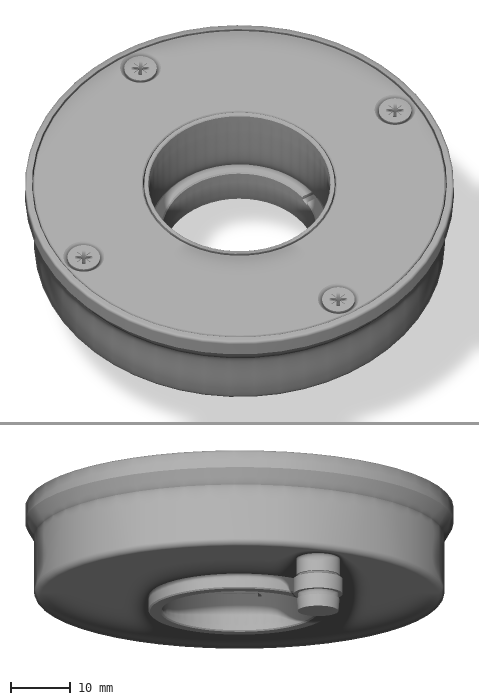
import cadquery as cq
import math


flange_diameter = 72.0
body_diameter = 69.0
flange_height = 3.0
body_height = 16.0
flange_taper_angle = 60.0
flange_top_fillet = 0.5
body_bottom_fillet = 1.0
bore_diameter = 30.5
bore_chamfer = 0.15

cover_outer_diameter = 69.3
cover_inner_diameter = 32.4
cover_thickness = 2.5
cover_chamfer = 0.2
recess_gap = 0.2

screw_count = 4
screw_circle_diameter = 61.9
countersink_diameter = 6.85
screw_head_diameter = 5.5
head_top = 0.15
shank_diameter = 3.0
shank_length = 7.2

drive_diameter = 3.0
drive_depth = 1.45
wing_width = 0.6
tick_offset = 45.0
tick_width = 0.15
tick_depth = 0.15
drive_angle = 57.0

adapter_bore_diameter = 26.0
adapter_top = 11.8
adapter_projection = 2.5
adapter_top_chamfer = 0.35
adapter_edge_chamfer = 0.2
spanner_slot_width = 1.5
spanner_slot_depth = 0.7

connector_circle_diameter = 56.9
connector_angle = 135.0
total_height = 25.1
seat_length = 0.15
collar_diameter = 7.35
neck_diameter = 6.85
ring_diameter = 8.2
tail_start_diameter = 7.2
tail_middle_diameter = 7.05
tail_end_diameter = 6.85
collar_length = 2.9
upper_neck_length = 0.6
ring_length = 2.6
lower_neck_length = 0.9

flange_radius = flange_diameter / 2
body_radius = body_diameter / 2
bore_radius = bore_diameter / 2
taper_height = (flange_radius - body_radius) * math.tan(math.radians(flange_taper_angle))

countersink_radius = countersink_diameter / 2
head_radius = screw_head_diameter / 2
shank_radius = shank_diameter / 2
seat_depth = countersink_radius - head_radius
cone_bottom = countersink_radius - shank_radius
screw_bottom = cone_bottom + shank_length


def revolve_profile(points):
    """Solid of revolution about Z from (radius, height) points."""
    return cq.Workplane("XZ").polyline(points).close().revolve(360, (0, 0, 0), (0, 1, 0))


def cylinder(diameter, top, bottom):
    """Cylinder on the Z axis between two depths below the top face."""
    return cq.Workplane("XY").workplane(offset=-bottom).circle(diameter / 2).extrude(bottom - top)


def make_countersunk_hole():
    """Cutter for a countersunk hole that opens at the top face."""
    return revolve_profile([
        (0, 0),
        (countersink_radius, 0),
        (shank_radius, -cone_bottom),
        (shank_radius, -screw_bottom),
        (0, -screw_bottom),
    ])


def at_screws(shape):
    """Copies of a shape at every screw position."""
    angles = [360 / screw_count * i for i in range(screw_count)]
    return [
        shape.translate((screw_circle_diameter / 2, 0, 0)).rotate((0, 0, 0), (0, 0, 1), angle)
        for angle in angles
    ]


def polar(radius, angle):
    """X and Y of the point at a radius and an angle in degrees."""
    return (radius * math.cos(math.radians(angle)), radius * math.sin(math.radians(angle)))


def make_cross(width, angle, depth):
    """Two crossed bars sunk into the screw head."""
    cross = cq.Workplane("XY").workplane(offset=-head_top).rect(drive_diameter, width).extrude(-depth)
    cross = cross.union(cross.rotate((0, 0, 0), (0, 0, 1), 90))
    return cross.rotate((0, 0, 0), (0, 0, 1), angle)


def make_drive_recess():
    """Cross that tapers to a point, plus shallow ticks halfway between its wings."""
    taper = revolve_profile([
        (0, -head_top),
        (drive_diameter / 2, -head_top),
        (0, -head_top - drive_depth),
    ])
    wings = make_cross(wing_width, drive_angle, drive_depth).intersect(taper)
    return wings.union(make_cross(tick_width, drive_angle + tick_offset, tick_depth))


def make_housing():
    housing = revolve_profile([
        (bore_radius, 0),
        (flange_radius, 0),
        (flange_radius, -flange_height),
        (body_radius, -flange_height - taper_height),
        (body_radius, -body_height),
        (bore_radius, -body_height),
    ])
    housing = housing.faces(">Z").edges(cq.selectors.RadiusNthSelector(-1))
    housing = housing.fillet(flange_top_fillet)
    housing = housing.faces("<Z").edges(cq.selectors.RadiusNthSelector(-1)).fillet(body_bottom_fillet)
    housing = housing.faces(">Z").edges(cq.selectors.RadiusNthSelector(0)).chamfer(bore_chamfer)
    recess = cylinder(cover_outer_diameter + 2 * recess_gap, 0, cover_thickness)
    recess = recess.cut(cylinder(cover_inner_diameter - 2 * recess_gap, 0, cover_thickness))
    housing = housing.cut(recess)
    for shank in at_screws(cylinder(shank_diameter, 0, screw_bottom)):
        housing = housing.cut(shank)
    return housing


def make_cover():
    cover = cylinder(cover_outer_diameter, 0, cover_thickness)
    cover = cover.cut(cylinder(cover_inner_diameter, 0, cover_thickness))
    cover = cover.faces(">Z").edges().chamfer(cover_chamfer)
    for countersink in at_screws(make_countersunk_hole()):
        cover = cover.cut(countersink)
    return cover


def make_screw():
    """Screw with a short cylindrical rim above its conical seat."""
    screw = revolve_profile([
        (0, -head_top),
        (head_radius, -head_top),
        (head_radius, -seat_depth),
        (shank_radius, -cone_bottom),
        (shank_radius, -screw_bottom),
        (0, -screw_bottom),
    ])
    return screw.cut(make_drive_recess())


def make_adapter():
    bottom = body_height + adapter_projection
    adapter = cylinder(bore_diameter, adapter_top, bottom).faces(">Z").chamfer(adapter_top_chamfer)
    adapter = adapter.cut(cylinder(adapter_bore_diameter, adapter_top, bottom))
    adapter = adapter.faces("<Z").chamfer(adapter_edge_chamfer)
    adapter = adapter.faces(">Z").edges(cq.selectors.RadiusNthSelector(0)).chamfer(adapter_edge_chamfer)
    slot = cq.Workplane("XY").workplane(offset=-adapter_top).rect(spanner_slot_width, bore_diameter)
    return adapter.cut(slot.extrude(-spanner_slot_depth))


def make_connector():
    collar_start = body_height + seat_length
    collar_end = collar_start + collar_length
    ring_start = collar_end + upper_neck_length
    ring_end = ring_start + ring_length
    tail_start = ring_end + lower_neck_length
    connector = cylinder(neck_diameter, body_height, tail_start)
    connector = connector.union(cylinder(collar_diameter, collar_start, collar_end))
    connector = connector.union(cylinder(ring_diameter, ring_start, ring_end))
    tail_middle = (tail_middle_diameter / 2, -(tail_start + total_height) / 2)
    tail = (
        cq.Workplane("XZ")
        .moveTo(0, -tail_start)
        .lineTo(tail_start_diameter / 2, -tail_start)
        .threePointArc(tail_middle, (tail_end_diameter / 2, -total_height))
        .lineTo(0, -total_height)
        .close()
        .revolve(360, (0, 0, 0), (0, 1, 0))
    )
    connector = connector.union(tail)
    x, y = polar(connector_circle_diameter / 2, connector_angle)
    return connector.translate((x, y, 0))


housing = make_housing()
cover = make_cover()
screws = at_screws(make_screw())
adapter = make_adapter()
connector = make_connector()

result = cq.Compound.makeCompound([
    housing.val(),
    cover.val(),
    *[screw.val() for screw in screws],
    adapter.val(),
    connector.val(),
])